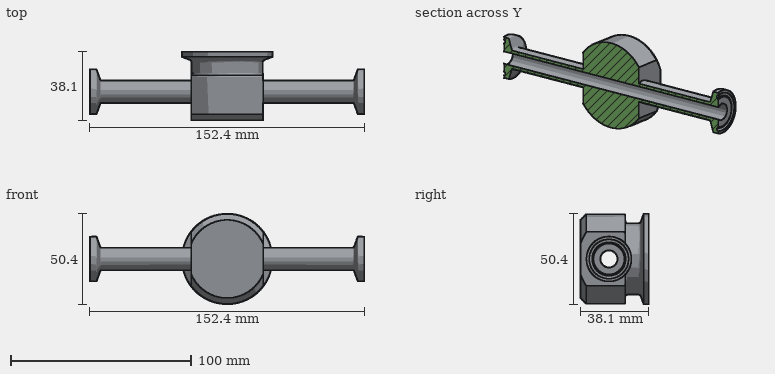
import cadquery as cq
import math


run_length = 152.43
tube_radius = 12.7 / 2
bore_radius = 9.4 / 2

flange_slope = math.radians(20)
end_flange_radius = 24.99 / 2
end_rim_width = 3.67
end_edge_radius = 0.5
end_root_radius = 0.5

groove_outer_radius = 21.89 / 2
groove_wall_radius = 9.3
groove_inner_radius = 8.6
groove_depth = 0.8
groove_wall_depth = 0.4

body_radius = 50.0 / 2
port_radius = 50.39 / 2
total_depth = 38.1
body_front_y = -15.875
body_length = 25.0
body_chamfer = 3.3
body_edge_radius = 0.9
flat_width = 40.0
port_face_y = body_front_y + total_depth
body_back_y = body_front_y + body_length
hub_radius = 39.7 / 2
port_rim_width = 2.95
port_root_radius = 1.4
hub_fillet_radius = 1.2

selection_margin = 0.1


def clamp_flange(outer_radius, neck_radius, rim_width, length, root_radius):
    """Flange and neck about Z: face at Z = 0, conical back, neck ending at Z = length."""
    cone_height = (outer_radius - neck_radius) * math.tan(flange_slope)
    profile = (
        cq.Workplane("XZ")
        .lineTo(outer_radius, 0)
        .lineTo(outer_radius, rim_width)
        .lineTo(neck_radius, rim_width + cone_height)
        .lineTo(neck_radius, length)
        .lineTo(0, length)
        .close()
    )
    flange = profile.revolve(360, (0, 0), (0, 1))
    root_height = rim_width + cone_height
    root_edge = flange.edges(cq.selectors.BoxSelector(
        (-outer_radius, -outer_radius, root_height - selection_margin),
        (outer_radius, outer_radius, root_height + selection_margin),
    ))
    return root_edge.fillet(root_radius)


def gasket_groove():
    """Ring about Z that cuts the groove into a flange face at Z = 0."""
    arc_middle_radius = (groove_outer_radius + groove_wall_radius) / 2
    profile = (
        cq.Workplane("XZ")
        .moveTo(groove_outer_radius, 0)
        .threePointArc((arc_middle_radius, groove_depth), (groove_wall_radius, groove_wall_depth))
        .lineTo(groove_inner_radius, 0)
        .close()
    )
    return profile.revolve(360, (0, 0), (0, 1))


def half_run():
    """The -X half of the run, from its flange face to the middle of the body."""
    half_length = run_length / 2
    half = clamp_flange(end_flange_radius, tube_radius, end_rim_width, half_length, end_root_radius)
    rim_edges = half.edges("%CIRCLE").edges(cq.selectors.RadiusNthSelector(-1))
    half = rim_edges.edges(">Z").fillet(end_edge_radius)
    half = half.cut(gasket_groove())
    return half.rotate((0, 0, 0), (0, 1, 0), 90).translate((-half_length, 0, 0))


def body():
    """Round body with a chamfered front, a filleted hub and two flats facing X."""
    block = (
        cq.Workplane("XZ", origin=(0, body_back_y, 0))
        .circle(body_radius)
        .extrude(body_length)
        .faces("<Y").chamfer(body_chamfer)
        .faces(">Y").fillet(body_edge_radius)
    )
    hub_length = port_face_y - body_back_y
    port = clamp_flange(port_radius, hub_radius, port_rim_width, hub_length, port_root_radius)
    port = port.rotate((0, 0, 0), (1, 0, 0), 90).translate((0, port_face_y, 0))
    turned = block.union(port)
    hub_edge = turned.edges(cq.selectors.BoxSelector(
        (-hub_radius, body_back_y - selection_margin, -hub_radius),
        (hub_radius, body_back_y + selection_margin, hub_radius),
    )).edges(cq.selectors.RadiusNthSelector(0))
    turned = hub_edge.fillet(hub_fillet_radius)

    flat_end_y = body_back_y + hub_fillet_radius
    side_depth = body_radius
    for side in (-1, 1):
        waste = cq.Workplane("XY").box(
            side_depth, flat_end_y - body_front_y, 2 * body_radius, centered=(True, False, True)
        )
        turned = turned.cut(waste.translate((side * (flat_width + side_depth) / 2, body_front_y, 0)))
    return turned


left_run = half_run()
right_run = left_run.mirror("YZ")
through_bore = cq.Workplane("YZ").circle(bore_radius).extrude(run_length / 2, both=True)
result = body().union(left_run).union(right_run).cut(through_bore)